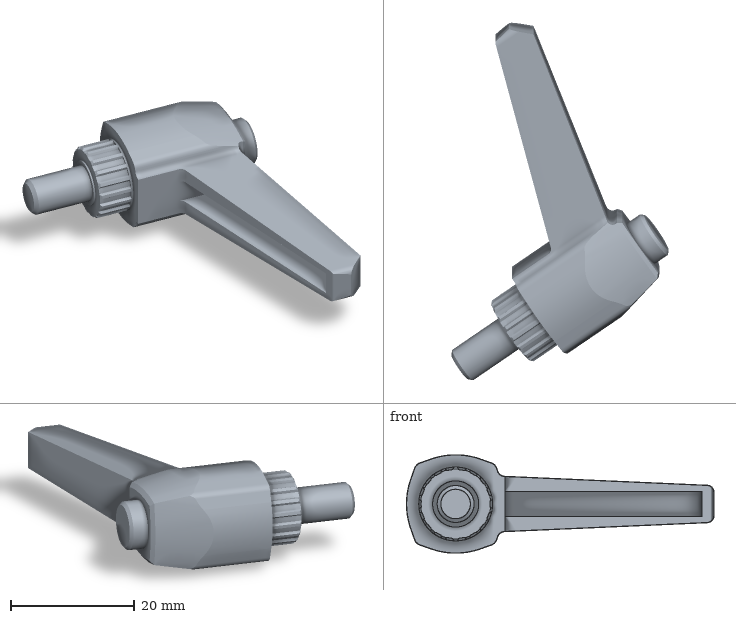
import math

import cadquery as cq


HUB_HEIGHT = 20.0
HUB_HALF_WIDTH = 8.0
SIDE_ARC_RADIUS = 12.0
SIDE_ARC_HALF_CHORD = 4.0
HUB_CORNER_RADIUS = 1.5
HUB_TOP_CHAMFER = 0.6

SLANT_RADIUS = 24.0
SLANT_START = 10.1
SLANT_TILT = 12.5

LEVER_ROOT_HALF_THICKNESS = 4.5
LEVER_TIP_HALF_THICKNESS = 3.0
LEVER_END = 42.0
LEVER_TOP_PEAK = (39.15, 26.0)
LEVER_TOP_ANGLE = 13.7
LEVER_BOTTOM_END = (41.6, 20.1)
LEVER_BOTTOM_ANGLE = 20.0
LEVER_TIP_RADIUS = 1.2
TIP_EDGE_RADIUS = 0.3
LEVER_SIDE_BLEND = 1.2
LEVER_BOTTOM_BLEND = 1.0

STEP_X = 6.0
STEP_BLEND = 1.0

POCKET_END = 40.0
POCKET_WIDTH = 4.0
POCKET_RADIUS = 2.0
POCKET_ROOF = 1.5

CAP_RADIUS = 4.0
CAP_HEIGHT = 3.0
CAP_CHAMFER = 0.5

COLLAR_RADIUS = 6.0
NECK_LENGTH = 0.3
COLLAR_END = 5.75
SPLINE_ROOT_RADIUS = 5.6
SPLINE_COUNT = 18
SPLINE_PITCH = 360 / SPLINE_COUNT
SPLINE_TIP_WIDTH = 0.54
SPLINE_ROOT_WIDTH = 1.0
SPLINE_CHAMFER = 0.3
SPLINE_OVERLAP = 0.3

SEAT_RADIUS = 3.75
SEAT_END = 6.0
STUD_RADIUS = 3.0
STUD_END = 16.0
STUD_CHAMFER = 0.6

CLEARANCE = 20.0
MATCH_TOLERANCE = 0.01


def upward(height):
    """XZ sketches have a normal along -Y, so a rise along +Y is a negative extrusion."""
    return -height


def disc(radius, y_low, y_high):
    return cq.Workplane("XZ", origin=(0, y_low, 0)).circle(radius).extrude(upward(y_high - y_low))


def lever_top(x):
    peak_x, peak_y = LEVER_TOP_PEAK
    return peak_y + (x - peak_x) * math.tan(math.radians(LEVER_TOP_ANGLE))


def lever_bottom(x):
    end_x, end_y = LEVER_BOTTOM_END
    return end_y + (x - end_x) * math.tan(math.radians(LEVER_BOTTOM_ANGLE))


def make_hub_prism():
    """Rounded square with bulging sides; the lever side carries a flat boss."""
    chord = SIDE_ARC_HALF_CHORD
    lean = math.asin(chord / SIDE_ARC_RADIUS)
    slope = math.tan(lean)
    arc_end = HUB_HALF_WIDTH - SIDE_ARC_RADIUS * (1 - math.cos(lean))
    corner = (arc_end + slope * chord) / (1 + slope)
    root = LEVER_ROOT_HALF_THICKNESS
    boss_start = corner + slope * (corner - root)
    half = HUB_HALF_WIDTH
    prism = (
        cq.Workplane("XZ")
        .moveTo(half, -root)
        .lineTo(half, root)
        .lineTo(boss_start, root)
        .lineTo(corner, corner)
        .lineTo(chord, arc_end)
        .threePointArc((0, half), (-chord, arc_end))
        .lineTo(-corner, corner)
        .lineTo(-arc_end, chord)
        .threePointArc((-half, 0), (-arc_end, -chord))
        .lineTo(-corner, -corner)
        .lineTo(-chord, -arc_end)
        .threePointArc((0, -half), (chord, -arc_end))
        .lineTo(corner, -corner)
        .lineTo(boss_start, -root)
        .close()
        .extrude(upward(HUB_HEIGHT))
    )
    corners = [(sx * corner, sz * corner) for sx in (-1, 1) for sz in (-1, 1)]
    boss_corners = [(boss_start, -root), (boss_start, root)]
    prism = fillet_upright_edges(prism, corners, HUB_CORNER_RADIUS)
    return fillet_upright_edges(prism, boss_corners, LEVER_SIDE_BLEND)


def fillet_upright_edges(body, xz_points, radius):
    """Fillet the edges parallel to Y that pass through the given XZ points."""

    def is_wanted(edge):
        center = edge.Center()
        return any(math.dist((center.x, center.z), point) < MATCH_TOLERANCE for point in xz_points)

    return body.edges("|Y").filter(is_wanted).fillet(radius)


def make_slant_body(turn):
    """Tilted cylinder that trims one side of the hub; turn is its angle about Y."""
    length = 4 * CLEARANCE
    return (
        cq.Workplane("XZ", origin=(0, upward(length / 2), HUB_HALF_WIDTH - SLANT_RADIUS))
        .circle(SLANT_RADIUS)
        .extrude(upward(length))
        .rotate((0, 0, HUB_HALF_WIDTH), (1, 0, HUB_HALF_WIDTH), -SLANT_TILT)
        .translate((0, SLANT_START, 0))
        .rotate((0, 0, 0), (0, 1, 0), turn)
    )


def make_step_cutter():
    """Clears everything above the lever beyond the step in the hub."""
    far = LEVER_END + CLEARANCE
    high = lever_top(far)
    return (
        cq.Workplane("XY", origin=(0, 0, -CLEARANCE))
        .polyline([(STEP_X, lever_top(STEP_X)), (far, high), (STEP_X, high)])
        .close()
        .extrude(2 * CLEARANCE)
        .edges("|Z and <X and <Y")
        .fillet(STEP_BLEND)
    )


def make_hub():
    hub = make_hub_prism()
    for turn in (-90, 0, 180):
        hub = hub.intersect(make_slant_body(turn))
    hub = hub.cut(make_step_cutter())
    return hub.faces(">Y").edges().chamfer(HUB_TOP_CHAMFER)


def make_lever():
    """Side outline and plan outline intersected, leaving a bar that tapers both ways."""
    start = HUB_HALF_WIDTH
    peak_x, peak_y = LEVER_TOP_PEAK
    tip_y = peak_y - (LEVER_END - peak_x)
    side = (
        cq.Workplane("XY", origin=(0, 0, -CLEARANCE))
        .polyline(
            [
                (start, lever_bottom(start)),
                LEVER_BOTTOM_END,
                (LEVER_END, tip_y),
                LEVER_TOP_PEAK,
                (start, lever_top(start)),
            ]
        )
        .close()
        .extrude(2 * CLEARANCE)
    )
    side = side.edges(cq.NearestToPointSelector((*LEVER_BOTTOM_END, 0))).fillet(TIP_EDGE_RADIUS)
    root = LEVER_ROOT_HALF_THICKNESS
    tip = LEVER_TIP_HALF_THICKNESS
    plan = (
        cq.Workplane("XZ")
        .polyline([(start, -root), (LEVER_END, -tip), (LEVER_END, tip), (start, root)])
        .close()
        .extrude(upward(2 * CLEARANCE))
        .edges("|Y and >X")
        .fillet(LEVER_TIP_RADIUS)
    )
    return side.intersect(plan)


def make_pocket():
    """Pocket open at the underside, its roof parallel to the top of the lever."""
    start = HUB_HALF_WIDTH
    drop = POCKET_ROOF / math.cos(math.radians(LEVER_TOP_ANGLE))
    return (
        cq.Workplane("XY", origin=(0, 0, -POCKET_WIDTH / 2))
        .polyline(
            [
                (start, 0),
                (POCKET_END, 0),
                (POCKET_END, lever_top(POCKET_END) - drop),
                (start, lever_top(start) - drop),
            ]
        )
        .close()
        .extrude(POCKET_WIDTH)
        .edges("|Z and (not <Y)")
        .fillet(POCKET_RADIUS)
    )


def make_handle():
    handle = make_hub().union(make_lever())
    blend_corner = (HUB_HALF_WIDTH, lever_bottom(HUB_HALF_WIDTH), 0)
    handle = handle.edges(cq.NearestToPointSelector(blend_corner)).fillet(LEVER_BOTTOM_BLEND)
    return handle.cut(make_pocket())


def make_cap():
    return disc(CAP_RADIUS, HUB_HEIGHT, HUB_HEIGHT + CAP_HEIGHT).faces(">Y").edges().chamfer(CAP_CHAMFER)


def make_splines():
    """Trapezoidal ribs around the collar, trimmed by its chamfered outer cylinder."""
    inside = SPLINE_ROOT_RADIUS - SPLINE_OVERLAP
    widening = (SPLINE_ROOT_WIDTH - SPLINE_TIP_WIDTH) / (COLLAR_RADIUS - SPLINE_ROOT_RADIUS)
    outside = COLLAR_RADIUS + SPLINE_OVERLAP
    inner_half = (SPLINE_ROOT_WIDTH + widening * SPLINE_OVERLAP) / 2
    outer_half = (SPLINE_TIP_WIDTH - widening * SPLINE_OVERLAP) / 2
    rib = (
        cq.Workplane("XZ")
        .polyline([(inside, -inner_half), (outside, -outer_half), (outside, outer_half), (inside, inner_half)])
        .close()
        .extrude(COLLAR_END)
    )
    envelope = disc(COLLAR_RADIUS, -COLLAR_END, 0).faces("<Y").edges().chamfer(SPLINE_CHAMFER)
    rib = rib.intersect(envelope)
    splines = disc(SPLINE_ROOT_RADIUS, -COLLAR_END, 0)
    for index in range(SPLINE_COUNT):
        splines = splines.union(rib.rotate((0, 0, 0), (0, 1, 0), (index + 0.5) * SPLINE_PITCH))
    return splines


def make_stud():
    neck = disc(COLLAR_RADIUS, -NECK_LENGTH, 0)
    seat = disc(SEAT_RADIUS, -SEAT_END, 0)
    stud = disc(STUD_RADIUS, -STUD_END, 0).faces("<Y").edges().chamfer(STUD_CHAMFER)
    return make_splines().union(neck).union(seat).union(stud)


result = make_handle().union(make_cap()).union(make_stud())